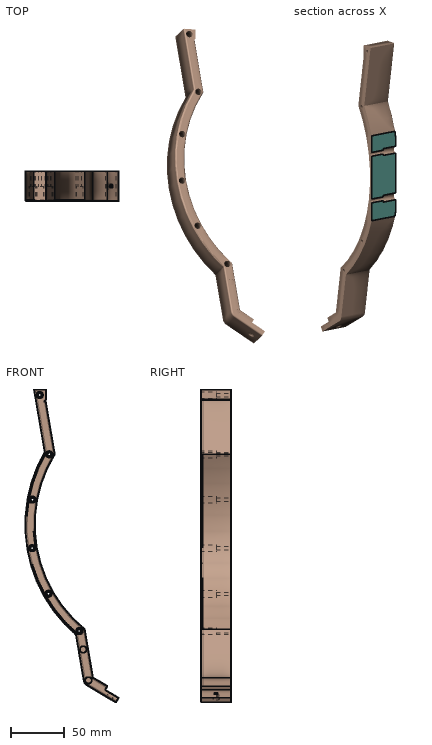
import cadquery as cq
import math

width = 28.0
front_y = -width / 2
top_z = 145.8
lean = 9.7

thickness = 9.0
leg_outer_u = -10.5
leg_inner_u = leg_outer_u + thickness
leg_mid_u = leg_outer_u + thickness / 2
bow_center_u = 93.0
bow_center_v = 4.5
bow_outer_radius = 134.7
bow_inner_radius = bow_outer_radius - thickness

bend_angle = 49.5
bend_v = -128.3
bend_radius = 7.0
foot_length = 34.5
tab_length = 14.5
tab_thickness = 5.0
foot_angle = bend_angle - 90

edge_radius = 1.5

block_right_x = -24.2
block_side_height = 9.0
bevel_width = 3.5
bevel_height = 3.8

screw_diameter = 3.2
counterbore_diameter = 6.0
counterbore_depth = 14.0
bow_hole_radius = 130.0
bow_hole_angles = (-40, -20, 0, 20, 40)
top_hole_drop = 5.0

recess_depth = 0.3
recess_places = (-96.8, -126.0)

tab_hole_inset = 8.0
tab_counterbore_depth = 2.3


def to_xz(u, v):
    """Turn a point of the leaning frame into global X and Z."""
    a = math.radians(lean)
    return (u * math.cos(a) - v * math.sin(a), u * math.sin(a) + v * math.cos(a))


def bow_point(radius, angle):
    """Point on a bow circle; the angle is measured from the middle of the bow."""
    a = math.radians(angle)
    return to_xz(bow_center_u - radius * math.cos(a), bow_center_v + radius * math.sin(a))


def foot_point(along, across):
    """Point of the foot, measured from the outer corner of the bend."""
    a = math.radians(foot_angle)
    u = leg_outer_u + along * math.cos(a) - across * math.sin(a)
    v = bend_v + along * math.sin(a) + across * math.cos(a)
    return to_xz(u, v)


def leg_end_angle(radius, leg_u):
    """Angle at which a bow circle meets a leg face."""
    return math.degrees(math.acos((bow_center_u - leg_u) / radius))


def leg_top_v(u):
    """Distance along the leg at which it reaches the top plane."""
    a = math.radians(lean)
    return (top_z - u * math.sin(a)) / math.cos(a)


def front_sketch():
    return cq.Workplane("XZ", origin=(0, front_y, 0))


def strap():
    """Legs, bow and foot at full thickness, long front edges rounded."""
    outer_angle = leg_end_angle(bow_outer_radius, leg_outer_u)
    inner_angle = leg_end_angle(bow_inner_radius, leg_inner_u)
    half_bend = math.radians(bend_angle / 2)
    bend_tangent = bend_radius * math.tan(half_bend)
    bend_middle_gap = bend_radius * (1 / math.cos(half_bend) - 1)
    bend_middle = to_xz(
        leg_outer_u + bend_middle_gap * math.cos(half_bend),
        bend_v + bend_middle_gap * math.sin(half_bend),
    )
    body = (
        front_sketch()
        .moveTo(*to_xz(leg_outer_u, leg_top_v(leg_outer_u)))
        .lineTo(*bow_point(bow_outer_radius, outer_angle))
        .threePointArc(bow_point(bow_outer_radius, 0), bow_point(bow_outer_radius, -outer_angle))
        .lineTo(*to_xz(leg_outer_u, bend_v + bend_tangent))
        .threePointArc(bend_middle, foot_point(bend_tangent, 0))
        .lineTo(*foot_point(foot_length, 0))
        .lineTo(*foot_point(foot_length, thickness))
        .lineTo(*foot_point(thickness * math.tan(half_bend), thickness))
        .lineTo(*bow_point(bow_inner_radius, -inner_angle))
        .threePointArc(bow_point(bow_inner_radius, 0), bow_point(bow_inner_radius, inner_angle))
        .lineTo(*to_xz(leg_inner_u, leg_top_v(leg_inner_u)))
        .close()
        .extrude(-width)
    )
    front_edges = body.faces("<Y").edges().vals()
    long_edges = [edge for edge in front_edges if edge.Length() > 2 * thickness]
    return body.newObject(long_edges).fillet(edge_radius)


def tab_step():
    """Material above the tab."""
    step_start = foot_length - tab_length
    return (
        front_sketch()
        .moveTo(*foot_point(step_start, tab_thickness))
        .lineTo(*foot_point(foot_length + thickness, tab_thickness))
        .lineTo(*foot_point(foot_length + thickness, 2 * thickness))
        .lineTo(*foot_point(step_start, 2 * thickness))
        .close()
        .extrude(-width)
    )


def top_block():
    """Block filling the inner corner at the top end, with a bevelled lower edge."""
    left_x = to_xz(leg_mid_u, leg_top_v(leg_mid_u))[0]
    side_bottom_z = top_z - block_side_height
    return (
        front_sketch()
        .moveTo(left_x, top_z)
        .lineTo(block_right_x, top_z)
        .lineTo(block_right_x, side_bottom_z)
        .lineTo(block_right_x - bevel_width, side_bottom_z - bevel_height)
        .lineTo(left_x, side_bottom_z - bevel_height)
        .close()
        .extrude(-width)
    )


def front_bore(place, diameter, depth):
    """Round cutter going in from the front face."""
    return front_sketch().moveTo(*place).circle(diameter / 2).extrude(-depth)


def tab_hole():
    """Hole square to the tab, counterbored on its outer face."""
    x, z = foot_point(foot_length - tab_hole_inset, 0)
    profile = (
        cq.Workplane("XZ")
        .moveTo(0, 0)
        .lineTo(counterbore_diameter / 2, 0)
        .lineTo(counterbore_diameter / 2, tab_counterbore_depth)
        .lineTo(screw_diameter / 2, tab_counterbore_depth)
        .lineTo(screw_diameter / 2, tab_thickness)
        .lineTo(0, tab_thickness)
        .close()
    )
    cutter = profile.revolve(360, (0, 0, 0), (0, 1, 0))
    return cutter.rotate((0, 0, 0), (0, 1, 0), -(foot_angle + lean)).translate((x, 0, z))


part = strap().cut(tab_step()).union(top_block())

hole_places = [bow_point(bow_hole_radius, angle) for angle in bow_hole_angles]
hole_places.append(to_xz(leg_mid_u, leg_top_v(leg_mid_u) - top_hole_drop))
for place in hole_places:
    part = part.cut(front_bore(place, screw_diameter, width))
    part = part.cut(front_bore(place, counterbore_diameter, counterbore_depth))

for v in recess_places:
    part = part.cut(front_bore(to_xz(leg_mid_u, v), counterbore_diameter, recess_depth))

result = part.cut(tab_hole())